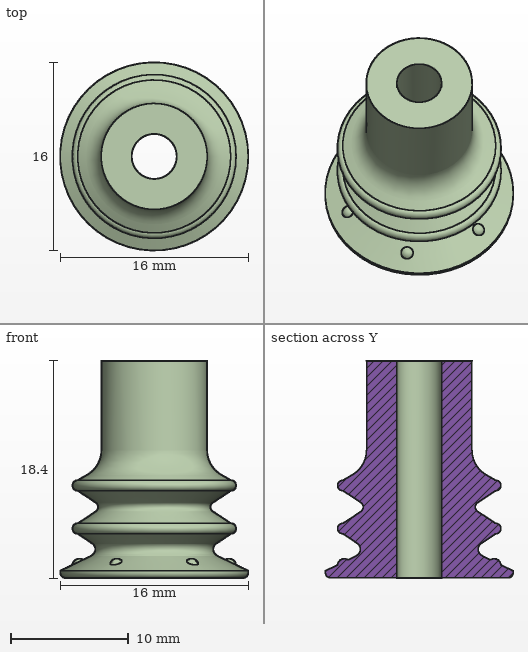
import cadquery as cq
import math

height = 18.45
lip_radius = 16.0 / 2
neck_radius = 9.0 / 2
bore_diameter = 3.8

lip_fillet = 0.48
lip_edge_z = 0.63
lip_cone_top_radius = 5.39
lip_cone_top_z = 1.88

waist_end_radius = 5.2
waist_min_radius = 5.02
waist_bottom_z = 2.03
waist_top_z = 2.88

fold_radius = 6.95
fold_edge_radius = 6.5
fold_half_height = 0.46
fold_pitch = 3.65
lower_fold_z = 4.2
upper_fold_z = lower_fold_z + fold_pitch

groove_end_radius = 4.98
groove_min_radius = 4.78
groove_half_height = 0.37
groove_z = lower_fold_z + fold_pitch / 2

shoulder_radius = 5.75
shoulder_bottom_z = 8.75
shoulder_top_z = 10.85

bump_count = 6
bump_circle_radius = 6.5
bump_base_radius = 0.507
bump_height = 0.28


def fold_edge(profile, middle_z):
    """Add the outside of one fold, from its lower cone to its upper cone."""
    return (
        profile.lineTo(fold_edge_radius, middle_z - fold_half_height)
        .threePointArc((fold_radius, middle_z), (fold_edge_radius, middle_z + fold_half_height))
    )


def make_outer_form():
    """Revolve the solid outside of the suction cup about the Z axis."""
    fillet_center_radius = lip_radius - lip_fillet
    fillet_middle = (
        fillet_center_radius + lip_fillet * math.sqrt(0.5),
        lip_fillet * (1 - math.sqrt(0.5)),
    )
    profile = (
        cq.Workplane("XZ")
        .lineTo(fillet_center_radius, 0)
        .threePointArc(fillet_middle, (lip_radius, lip_fillet))
        .lineTo(lip_radius, lip_edge_z)
        .lineTo(lip_cone_top_radius, lip_cone_top_z)
        .lineTo(waist_end_radius, waist_bottom_z)
        .threePointArc(
            (waist_min_radius, (waist_bottom_z + waist_top_z) / 2),
            (waist_end_radius, waist_top_z),
        )
    )
    profile = fold_edge(profile, lower_fold_z)
    profile = (
        profile.lineTo(groove_end_radius, groove_z - groove_half_height)
        .threePointArc(
            (groove_min_radius, groove_z),
            (groove_end_radius, groove_z + groove_half_height),
        )
    )
    profile = fold_edge(profile, upper_fold_z)

    shoulder_width = shoulder_radius - neck_radius
    shoulder_height = shoulder_top_z - shoulder_bottom_z
    half_sweep = math.atan2(shoulder_width, shoulder_height)
    arc_radius = shoulder_height / math.sin(2 * half_sweep)
    shoulder_middle = (
        neck_radius + arc_radius * (1 - math.cos(half_sweep)),
        shoulder_top_z - arc_radius * math.sin(half_sweep),
    )
    profile = (
        profile.lineTo(shoulder_radius, shoulder_bottom_z)
        .threePointArc(shoulder_middle, (neck_radius, shoulder_top_z))
        .lineTo(neck_radius, height)
        .lineTo(0, height)
        .close()
    )
    return profile.revolve(360, (0, 0, 0), (0, 1, 0))


def make_bump(angle):
    """Make the sphere whose cap stands out of the lip cone at the given angle."""
    cone_slope = (lip_cone_top_z - lip_edge_z) / (lip_radius - lip_cone_top_radius)
    cone_tilt = math.atan(cone_slope)
    cone_z = lip_edge_z + (lip_radius - bump_circle_radius) * cone_slope
    sphere_radius = (bump_base_radius**2 + bump_height**2) / (2 * bump_height)
    depth = sphere_radius - bump_height
    center = (
        bump_circle_radius - depth * math.sin(cone_tilt),
        0,
        cone_z - depth * math.cos(cone_tilt),
    )
    sphere = cq.Workplane("XY").sphere(sphere_radius).translate(center)
    return sphere.rotate((0, 0, 0), (0, 0, 1), angle)


def make_suction_cup():
    """Make the bellows suction cup with its bumps and through bore."""
    cup = make_outer_form()
    for index in range(bump_count):
        cup = cup.union(make_bump(index * 360 / bump_count))
    bore = cq.Workplane("XY").circle(bore_diameter / 2).extrude(height)
    return cup.cut(bore)


suction_cup = make_suction_cup()

result = cq.Compound.makeCompound([suction_cup.val()])